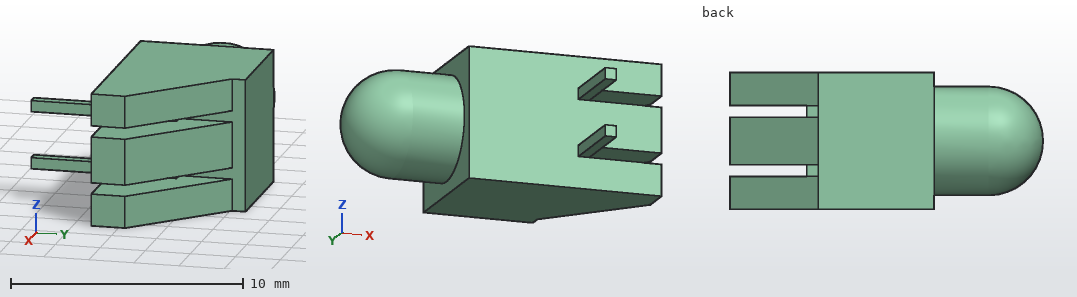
import cadquery as cq

total_length = 13.5

lens_diameter = 4.7
lens_radius = lens_diameter / 2
lens_length = 4.7

housing_size = 5.9
half_size = housing_size / 2
rear_step = 0.6
end_wall = 1.5

lead_width = 0.5
lead_pitch = 2.55
lead_protrusion = 3.5

slope_run = housing_size - rear_step - end_wall
slope_start = total_length - slope_run
lead_heights = (-lead_pitch / 2, lead_pitch / 2)


def make_lens():
    """Revolve the half profile of the lens about the LED axis."""
    diagonal = lens_radius * 0.5 ** 0.5
    return (
        cq.Workplane("XY")
        .threePointArc((lens_radius - diagonal, diagonal), (lens_radius, lens_radius))
        .lineTo(lens_length, lens_radius)
        .lineTo(lens_length, 0)
        .close()
        .revolve(360, (0, 0), (1, 0))
    )


def make_housing():
    """Extrude the block with its sloped rear corner."""
    outline = [
        (lens_length, -half_size),
        (total_length, -half_size),
        (total_length, end_wall - half_size),
        (slope_start, half_size - rear_step),
        (slope_start, half_size),
        (lens_length, half_size),
    ]
    return cq.Workplane("XY").polyline(outline).close().extrude(half_size, both=True)


def make_slot(height):
    """Slot through the full depth, open at the +X end."""
    return (
        cq.Workplane("XY")
        .box(slope_run, housing_size, lead_width, centered=(False, True, True))
        .translate((slope_start, 0, height))
    )


def make_lead(height):
    """Square lead at the closed end of a slot, from the LED axis to its -Y tip."""
    length = half_size + lead_protrusion
    return (
        cq.Workplane("XY")
        .box(lead_width, length, lead_width, centered=(False, False, True))
        .translate((slope_start, -length, height))
    )


result = make_lens().union(make_housing())
for lead_height in lead_heights:
    result = result.cut(make_slot(lead_height)).union(make_lead(lead_height))